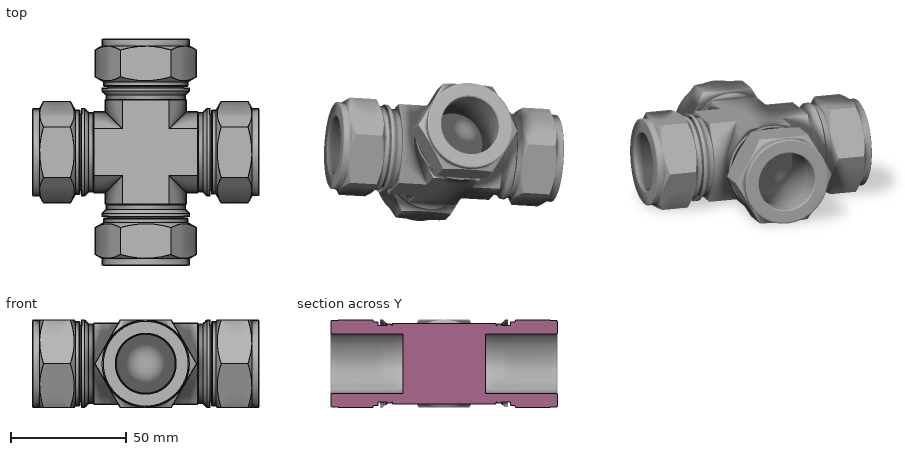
import cadquery as cq
import math

OVERALL_LENGTH = 98.19
END_DISTANCE = OVERALL_LENGTH / 2
HEX_SIDES = 6
HALF_FACET = math.pi / HEX_SIDES
HEX_FLATS = 38.1
HEX_CORNERS = HEX_FLATS / math.cos(HALF_FACET)

BODY_FLATS = 35.26
BODY_REACH = 22.53

COLLAR_DIAMETER = 37.8
COLLAR_CHAMFER_LENGTH = 0.3
COLLAR_CHAMFER_HEIGHT = 0.5
HEX_START = 3.0
HEX_CORNER_START = 4.8
HEX_CORNER_END = 16.4
CHAMFER_SLOPE = math.tan(math.radians(30))
SKIRT_DIAMETER = 36.5
SKIRT_END = 20.5
SKIRT_CHAMFER_LENGTH = 0.3
SKIRT_CHAMFER_HEIGHT = 0.15

STEM_DIAMETER = 33.34
FLANGE_DIAMETER = 38.0
FLANGE_START = 21.3
FLANGE_END = 22.6
FLANGE_WALL = 0.3
NECK_DIAMETER = 34.5
NECK_START = 24.3
RELIEF_WIDTH = 0.3

BORE_DIAMETER = 25.6
BORE_CHAMFER = 0.4
BORE_DEPTH = 31.2

ARM_COUNT = 4
ARM_PITCH = 360 / ARM_COUNT


def body_bar():
    """Bar along X: rounded sides, with flats above and below that run tangent into them."""
    radius = BODY_FLATS / 2
    corner = radius * math.tan(HALF_FACET)
    tangent_y = radius * math.cos(HALF_FACET)
    tangent_z = radius * math.sin(HALF_FACET)
    return (
        cq.Workplane("YZ")
        .workplane(offset=-BODY_REACH)
        .moveTo(-corner, radius)
        .lineTo(corner, radius)
        .lineTo(tangent_y, tangent_z)
        .threePointArc((radius, 0), (tangent_y, -tangent_z))
        .lineTo(corner, -radius)
        .lineTo(-corner, -radius)
        .lineTo(-tangent_y, -tangent_z)
        .threePointArc((-radius, 0), (-tangent_y, tangent_z))
        .close()
        .extrude(2 * BODY_REACH)
    )


def revolve_about_x(profile):
    """Revolve a closed profile of (depth from the end face, radius) points about the X axis."""
    points = [(END_DISTANCE - depth, radius) for depth, radius in profile]
    return cq.Workplane("XY").polyline(points).close().revolve(360, (0, 0, 0), (1, 0, 0))


def hex_nut():
    """Hexagon with flats above and below, its corners cut by a cone at both ends."""
    corner_radius = HEX_CORNERS / 2
    skirt_radius = SKIRT_DIAMETER / 2
    front_radius = corner_radius - (HEX_CORNER_START - HEX_START) / CHAMFER_SLOPE
    hex_end = HEX_CORNER_END + (corner_radius - skirt_radius) * CHAMFER_SLOPE
    prism = (
        cq.Workplane("YZ")
        .workplane(offset=END_DISTANCE - hex_end)
        .polygon(HEX_SIDES, HEX_CORNERS)
        .extrude(hex_end - HEX_START)
    )
    envelope = revolve_about_x([
        (HEX_START, 0),
        (HEX_START, front_radius),
        (HEX_CORNER_START, corner_radius),
        (HEX_CORNER_END, corner_radius),
        (hex_end, skirt_radius),
        (hex_end, 0),
    ])
    return prism.intersect(envelope)


def turned_core():
    """Round stretches of one arm: collar, skirt, stem, hollow flange and neck."""
    collar_radius = COLLAR_DIAMETER / 2
    stem_radius = STEM_DIAMETER / 2
    flange_radius = FLANGE_DIAMETER / 2
    neck_radius = NECK_DIAMETER / 2
    skirt_radius = SKIRT_DIAMETER / 2
    cavity_radius = flange_radius - FLANGE_WALL
    body_start = END_DISTANCE - BODY_REACH
    return revolve_about_x([
        (0, 0),
        (0, collar_radius - COLLAR_CHAMFER_HEIGHT),
        (COLLAR_CHAMFER_LENGTH, collar_radius),
        (HEX_START, collar_radius),
        (HEX_CORNER_START, skirt_radius),
        (SKIRT_END - SKIRT_CHAMFER_LENGTH, skirt_radius),
        (SKIRT_END, skirt_radius - SKIRT_CHAMFER_HEIGHT),
        (SKIRT_END, stem_radius),
        (NECK_START, stem_radius),
        (FLANGE_END, cavity_radius),
        (FLANGE_START, cavity_radius),
        (FLANGE_START, flange_radius),
        (FLANGE_END, flange_radius),
        (NECK_START, neck_radius),
        (body_start - RELIEF_WIDTH, neck_radius),
        (body_start - RELIEF_WIDTH, stem_radius),
        (body_start, stem_radius),
        (body_start, 0),
    ])


def tube_socket():
    """Blind bore with a chamfered mouth."""
    bore_radius = BORE_DIAMETER / 2
    return revolve_about_x([
        (0, 0),
        (0, bore_radius + BORE_CHAMFER),
        (BORE_CHAMFER, bore_radius),
        (BORE_DEPTH, bore_radius),
        (BORE_DEPTH, 0),
    ])


def turned_about_z(shape, angle):
    """Turn a shape lying along +X around the vertical centre line."""
    return shape.rotate((0, 0, 0), (0, 0, 1), angle)


arm = turned_core().union(hex_nut())
socket = tube_socket()
bar = body_bar()

result = bar.union(turned_about_z(bar, ARM_PITCH))
for index in range(ARM_COUNT):
    result = result.union(turned_about_z(arm, index * ARM_PITCH))
for index in range(ARM_COUNT):
    result = result.cut(turned_about_z(socket, index * ARM_PITCH))